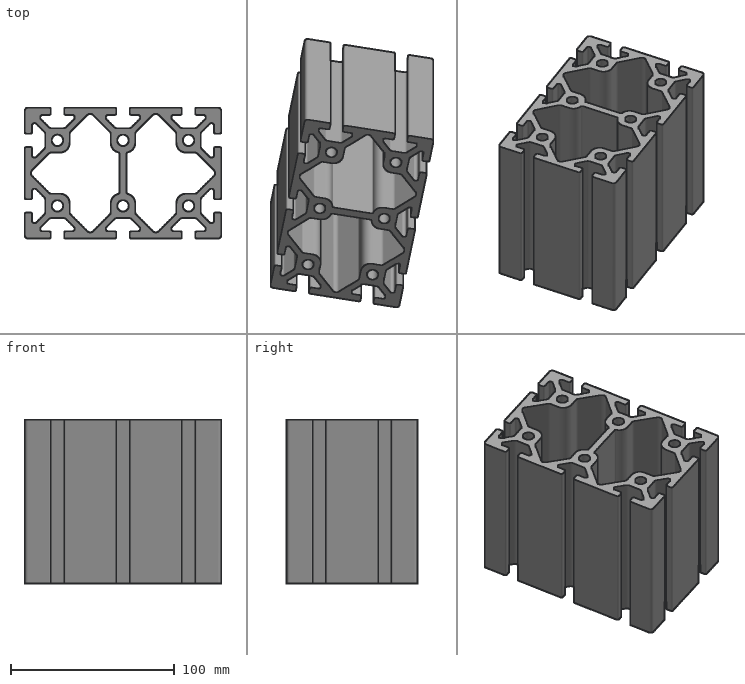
import cadquery as cq
import math

length_x = 120.0
columns = 3
rows = 2
pitch = length_x / columns
length_y = rows * pitch
height = 2.5 * pitch
corner_radius = 2.0

slot_half_opening = pitch / 10
lip_thickness = 4.5
lip_radius = 1.1
pocket_half_width = 10.5
pocket_radius = 1.3
slot_depth = 12.5
floor_half_width = 4.7
floor_radius = 2.0

hub_half = pitch / 2 - slot_depth
hub_radius = 6.0
web_offset = 4.7
web_root_radius = 2.0
tip_radius = 2.5
wall_thickness = 4.5
wall_root_radius = 1.0
wall_margin = 0.1
channel_diameter = 6.8


def rounded_outline(corners):
    """Closed wire through (x, y, radius) corners, with a tangent arc wherever the radius is not zero."""
    edges = []
    stops = []
    for i, (x, y, radius) in enumerate(corners):
        corner = cq.Vector(x, y)
        before = (cq.Vector(*corners[i - 1][:2]) - corner).normalized()
        after = (cq.Vector(*corners[(i + 1) % len(corners)][:2]) - corner).normalized()
        if radius == 0:
            stops.append((corner, corner))
            continue
        half_angle = before.getAngle(after) / 2
        setback = radius / math.tan(half_angle)
        sagitta_gap = radius / math.sin(half_angle) - radius
        start = corner + before * setback
        end = corner + after * setback
        middle = corner + (before + after).normalized() * sagitta_gap
        edges.append(cq.Edge.makeThreePointArc(start, middle, end))
        stops.append((start, end))
    for i, (start, _) in enumerate(stops):
        edges.append(cq.Edge.makeLine(stops[i - 1][1], start))
    return cq.Wire.assembleEdges(edges)


def prism(corners):
    """Full-height solid over a rounded outline."""
    return cq.Workplane("XY").add(rounded_outline(corners)).toPending().extrude(height)


def slot_corners():
    """T-slot as (distance along the side from the slot centre, depth, radius), in walking order."""
    pocket_side_depth = slot_depth - (pocket_half_width - floor_half_width)
    entry = [
        (-slot_half_opening, 0, lip_radius),
        (-slot_half_opening, lip_thickness, lip_radius),
        (-pocket_half_width, lip_thickness, pocket_radius),
        (-pocket_half_width, pocket_side_depth, pocket_radius),
        (-floor_half_width, slot_depth, floor_radius),
    ]
    return entry + [(-along, depth, radius) for along, depth, radius in reversed(entry)]


def rim_corners():
    """Outer outline, walked counter-clockwise from the (-X, -Y) corner."""
    sides = [
        ((-length_x / 2, -length_y / 2), (1, 0), columns),
        ((length_x / 2, -length_y / 2), (0, 1), rows),
        ((length_x / 2, length_y / 2), (-1, 0), columns),
        ((-length_x / 2, length_y / 2), (0, -1), rows),
    ]
    corners = []
    for (x, y), (dx, dy), modules in sides:
        corners.append((x, y, corner_radius))
        for module in range(modules):
            centre = (module + 0.5) * pitch
            for along, depth, radius in slot_corners():
                step = centre + along
                corners.append((x + dx * step - dy * depth, y + dy * step + dx * depth, radius))
    return corners


def hollow_corners():
    """Hollow inside the webs and hubs: its (-X, +Y) quarter, mirrored in X and then in Y."""
    hub_x = -pitch
    hub_y = pitch / 2
    hub_inner_y = hub_y - hub_half
    web_start_y = hub_y + web_offset
    web_run = pitch / 2 - hub_half
    quarter = [
        (hub_x - web_offset, hub_inner_y, web_root_radius),
        (hub_x + hub_half, hub_inner_y, hub_radius),
        (hub_x + hub_half, web_start_y, web_root_radius),
        (-pitch / 2, web_start_y + web_run, tip_radius),
        (-hub_half, web_start_y, web_root_radius),
        (-hub_half, hub_inner_y, hub_radius),
    ]
    upper = quarter + [(-x, y, radius) for x, y, radius in reversed(quarter)]
    lower = [(-x, -y, radius) for x, y, radius in upper]
    left_tip_x = hub_x - web_offset - web_run
    return [(left_tip_x, 0, tip_radius)] + upper + [(-left_tip_x, 0, tip_radius)] + lower


body = prism(rim_corners()).cut(prism(hollow_corners()))

dividing_wall = cq.Workplane("XY").rect(wall_thickness, pitch).extrude(height)
body = body.union(dividing_wall)

wall_zone = cq.selectors.BoxSelector(
    (-wall_thickness / 2 - wall_margin, -pitch / 2, 0),
    (wall_thickness / 2 + wall_margin, pitch / 2, height),
)
body = body.edges("|Z").edges(wall_zone).fillet(wall_root_radius)

channels = (
    cq.Workplane("XY")
    .rarray(pitch, pitch, columns, rows)
    .circle(channel_diameter / 2)
    .extrude(height)
)
result = body.cut(channels)